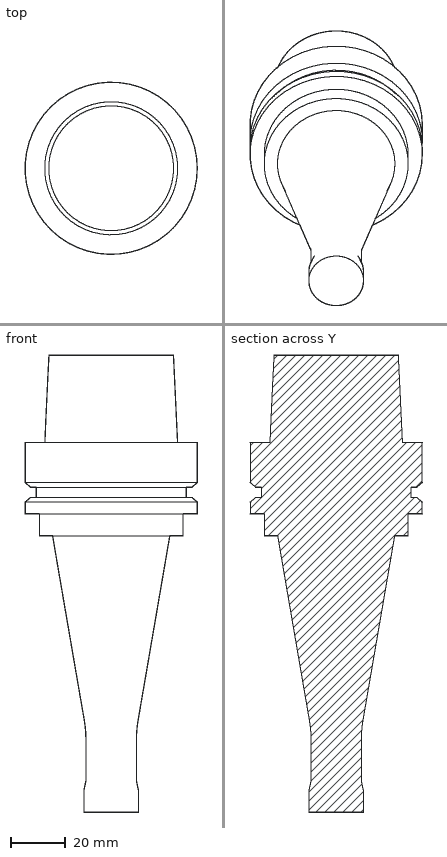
import cadquery as cq
import math

TIP_TOP_Z = 8.0
NECK_BOTTOM_Z = 11.5
NECK_TOP_Z = 26.5
COLLAR_BOTTOM_Z = 101.0
FLANGE_BOTTOM_Z = 109.0
FLANGE_TOP_Z = 135.1
TOTAL_HEIGHT = 167.0

TIP_RADIUS = 20.0 / 2
NECK_RADIUS = 18.5 / 2
CONE_TOP_RADIUS = 43.0 / 2
COLLAR_RADIUS = 52.6 / 2
FLANGE_RADIUS = 63.0 / 2
GROOVE_RADIUS = 55.0 / 2
SHANK_BASE_RADIUS = 48.6 / 2
SHANK_TOP_RADIUS = 45.6 / 2

GROOVE_BOTTOM_Z = 115.0
GROOVE_TOP_Z = 118.7
CHAMFER_HEIGHT = 1.7
CHAMFER_DEPTH = 2.0
CHAMFER_RADIUS = FLANGE_RADIUS - CHAMFER_DEPTH

BLEND_RADIUS = 41.8
BLEND_CENTER_RADIUS = NECK_RADIUS + BLEND_RADIUS


def blend_point(angle):
    """Radius and height on the blend arc, at an angle measured from its neck end."""
    return (
        BLEND_CENTER_RADIUS - BLEND_RADIUS * math.cos(angle),
        NECK_TOP_Z + BLEND_RADIUS * math.sin(angle),
    )


def blend_sweep():
    """Angle of the arc at which its tangent runs through the top of the cone."""
    across = BLEND_CENTER_RADIUS - CONE_TOP_RADIUS
    along = COLLAR_BOTTOM_Z - NECK_TOP_Z
    return math.atan2(along, across) - math.acos(BLEND_RADIUS / math.hypot(across, along))


def half_profile():
    """Closed outline from the axis to the outer surface, from tip to shank."""
    sweep = blend_sweep()
    return (
        cq.Workplane("XZ")
        .lineTo(TIP_RADIUS, 0)
        .lineTo(TIP_RADIUS, TIP_TOP_Z)
        .lineTo(NECK_RADIUS, NECK_BOTTOM_Z)
        .lineTo(NECK_RADIUS, NECK_TOP_Z)
        .threePointArc(blend_point(sweep / 2), blend_point(sweep))
        .lineTo(CONE_TOP_RADIUS, COLLAR_BOTTOM_Z)
        .lineTo(COLLAR_RADIUS, COLLAR_BOTTOM_Z)
        .lineTo(COLLAR_RADIUS, FLANGE_BOTTOM_Z)
        .lineTo(FLANGE_RADIUS, FLANGE_BOTTOM_Z)
        .lineTo(FLANGE_RADIUS, GROOVE_BOTTOM_Z - CHAMFER_HEIGHT)
        .lineTo(CHAMFER_RADIUS, GROOVE_BOTTOM_Z)
        .lineTo(GROOVE_RADIUS, GROOVE_BOTTOM_Z)
        .lineTo(GROOVE_RADIUS, GROOVE_TOP_Z)
        .lineTo(CHAMFER_RADIUS, GROOVE_TOP_Z)
        .lineTo(FLANGE_RADIUS, GROOVE_TOP_Z + CHAMFER_HEIGHT)
        .lineTo(FLANGE_RADIUS, FLANGE_TOP_Z)
        .lineTo(SHANK_BASE_RADIUS, FLANGE_TOP_Z)
        .lineTo(SHANK_TOP_RADIUS, TOTAL_HEIGHT)
        .lineTo(0, TOTAL_HEIGHT)
        .close()
    )


result = half_profile().revolve(360, (0, 0, 0), (0, 1, 0))